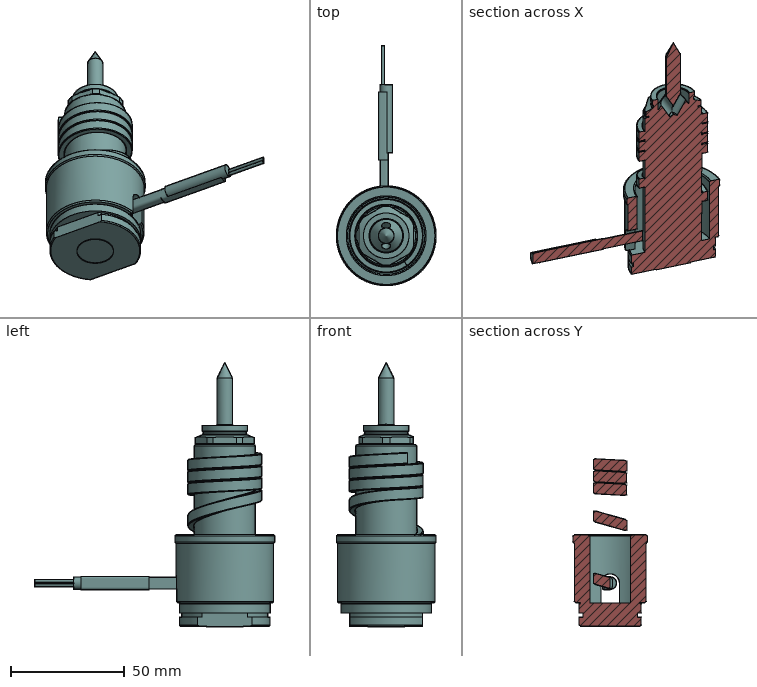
import cadquery as cq
import math

CLAMP_DISC_BOTTOM = 0.3
NECK_BOTTOM = 4.4
NECK_TOP = 6.2
CUP_BOTTOM = 10.6
CUP_RIM_BOTTOM = 37.3
CUP_TOP = 40.6
BODY_TOP = 80.2
HEX_BOTTOM = 80.6
HEX_TOP = 84.4
COLLAR_BOTTOM = 86.2
COLLAR_TOP = 88.6
SHAFT_TOP = 108.5
TIP_CONE_BOTTOM = 109.5
TIP_TOP = 116.3

BOSS_RADIUS = 8.0
BASE_RADIUS = 20.0
NECK_RADIUS = 19.0
FLAT_DISTANCE = 16.0
BASE_CHAMFER = 0.5

CUP_RADIUS = 21.5
CUP_RIM_RADIUS = 22.0
CUP_BORE_RADIUS = 17.0
CUP_SLOT_WIDTH = 8.0
EDGE_CHAMFER = 0.6

BODY_RADIUS = 13.5
HEX_ACROSS_FLATS = 24.0
HEX_CORNER_RADIUS = 13.0
HEX_NECK_RADIUS = 11.6
HEX_TOP_SLOPE_HEIGHT = 1.2
COLLAR_RADIUS = 10.0
GROOVE_RADIUS = 9.5
GROOVE_BEVEL = COLLAR_RADIUS - GROOVE_RADIUS
BORE_RADIUS = 7.2
BORE_CHAMFER = 0.3

TORPEDO_CONE_BOTTOM = 82.9
TORPEDO_SHOULDER = 88.6
TORPEDO_SHOULDER_RADIUS = 3.8
SHAFT_RADIUS = 3.5
TIP_CONE_RADIUS = 3.4
MELT_HOLE_RADIUS = 2.0
MELT_HOLE_MOUTH = 4.7
MELT_HOLE_TILT = 30.0
MELT_HOLE_LEAD_IN = 1.2

BAND_OUTER_RADIUS = 16.3
BAND_OVERLAP = 0.5
BAND_HEIGHT = 5.0
BAND_BEVEL = 0.3
BAND_TOP = 76.8
BAND_START_ANGLE = -55.0
BAND_TIGHT_PITCH = 5.2
BAND_TIGHT_SWEEP = 1095.0
BAND_BLEND_SWEEP = 118.0
BAND_TOTAL_SWEEP = 1655.0
BAND_STEPS_PER_TURN = 24

CABLE_Z = 19.3
LEAD_X_MIN = -2.7
LEAD_X_MAX = 0.9
LEAD_HEIGHT = 5.3
LEAD_OUTER_BEND_RADIUS = 1.2
LEAD_EDGE_RADIUS = 0.3
LEAD_START = 14.5
SLEEVE_LENGTH = 30.0
BOX_SLEEVE_START = 33.3
BOX_SLEEVE_WIDTH = 4.2
BOX_SLEEVE_HEIGHT = 5.9
BOX_SLEEVE_CORNER = 1.0
ROUND_SLEEVE_START = 36.4
ROUND_SLEEVE_RADIUS = 2.8
WIRE_X = -1.4
WIRE_RADIUS = 0.7
WIRE_SPACING = 1.9
WIRE_END = 83.5


def disc(radius, bottom, top):
    return cq.Workplane("XY").workplane(offset=bottom).circle(radius).extrude(top - bottom)


def turned(points):
    """Solid of revolution about Z from (radius, height) points."""
    return cq.Workplane("XZ").polyline(points).close().revolve(360, (0, 0, 0), (0, 1, 0))


def make_base():
    clamp = disc(BASE_RADIUS, CLAMP_DISC_BOTTOM, NECK_BOTTOM).faces("<Z").edges().chamfer(BASE_CHAMFER)
    neck = disc(NECK_RADIUS, NECK_BOTTOM, NECK_TOP)
    flats = cq.Workplane("XY").rect(2 * FLAT_DISTANCE, 2 * BASE_RADIUS).extrude(NECK_TOP)
    base = clamp.union(neck).intersect(flats)
    boss = disc(BOSS_RADIUS, 0, NECK_BOTTOM)
    shoulder = disc(BASE_RADIUS, NECK_TOP, CUP_BOTTOM).faces(">Z").edges().chamfer(BASE_CHAMFER)
    return base.union(boss).union(shoulder)


def make_cup():
    cup = turned([
        (CUP_BORE_RADIUS, CUP_BOTTOM),
        (CUP_RADIUS - EDGE_CHAMFER, CUP_BOTTOM),
        (CUP_RADIUS, CUP_BOTTOM + EDGE_CHAMFER),
        (CUP_RADIUS, CUP_RIM_BOTTOM - EDGE_CHAMFER),
        (CUP_RIM_RADIUS, CUP_RIM_BOTTOM),
        (CUP_RIM_RADIUS, CUP_TOP - EDGE_CHAMFER),
        (CUP_RIM_RADIUS - EDGE_CHAMFER, CUP_TOP),
        (CUP_BORE_RADIUS + EDGE_CHAMFER, CUP_TOP),
        (CUP_BORE_RADIUS, CUP_TOP - EDGE_CHAMFER),
    ])
    slot_radius = CUP_SLOT_WIDTH / 2
    slot = (
        cq.Workplane("XZ")
        .moveTo(-slot_radius, CUP_BOTTOM)
        .lineTo(slot_radius, CUP_BOTTOM)
        .lineTo(slot_radius, CABLE_Z)
        .threePointArc((0, CABLE_Z + slot_radius), (-slot_radius, CABLE_Z))
        .close()
        .extrude(-2 * CUP_RADIUS)
    )
    return cup.cut(slot)


def make_body():
    return disc(BODY_RADIUS, CUP_BOTTOM, BODY_TOP).faces(">Z").edges().chamfer(EDGE_CHAMFER)


def make_hexagon():
    corner_diameter = HEX_ACROSS_FLATS / math.cos(math.pi / 6)
    prism = (
        cq.Workplane("XY")
        .workplane(offset=HEX_BOTTOM)
        .polygon(6, corner_diameter)
        .extrude(HEX_TOP - HEX_BOTTOM)
        .rotate((0, 0, 0), (0, 0, 1), 30)
    )
    rounding = turned([
        (0, HEX_BOTTOM),
        (HEX_CORNER_RADIUS, HEX_BOTTOM),
        (HEX_CORNER_RADIUS, HEX_TOP - HEX_TOP_SLOPE_HEIGHT),
        (COLLAR_RADIUS, HEX_TOP),
        (0, HEX_TOP),
    ])
    return prism.intersect(rounding).union(disc(HEX_NECK_RADIUS, BODY_TOP, HEX_BOTTOM))


def make_collar():
    return turned([
        (0, HEX_TOP),
        (COLLAR_RADIUS, HEX_TOP),
        (GROOVE_RADIUS, HEX_TOP + GROOVE_BEVEL),
        (GROOVE_RADIUS, COLLAR_BOTTOM - GROOVE_BEVEL),
        (COLLAR_RADIUS, COLLAR_BOTTOM),
        (COLLAR_RADIUS, COLLAR_TOP),
        (0, COLLAR_TOP),
    ])


def make_bore():
    return turned([
        (0, TORPEDO_CONE_BOTTOM),
        (BORE_RADIUS, TORPEDO_CONE_BOTTOM),
        (BORE_RADIUS, COLLAR_TOP - BORE_CHAMFER),
        (BORE_RADIUS + BORE_CHAMFER, COLLAR_TOP),
        (0, COLLAR_TOP),
    ])


def make_torpedo():
    shoulder_bevel = TORPEDO_SHOULDER_RADIUS - SHAFT_RADIUS
    return turned([
        (0, TORPEDO_CONE_BOTTOM),
        (BORE_RADIUS, TORPEDO_CONE_BOTTOM),
        (TORPEDO_SHOULDER_RADIUS, TORPEDO_SHOULDER),
        (SHAFT_RADIUS, TORPEDO_SHOULDER + shoulder_bevel),
        (SHAFT_RADIUS, SHAFT_TOP),
        (TIP_CONE_RADIUS, TIP_CONE_BOTTOM),
        (0, TIP_TOP),
    ])


def make_melt_hole(side):
    """Slanted hole from the torpedo cone down to the axis, on the +Y (1) or -Y (-1) side."""
    cone_fall = (TORPEDO_SHOULDER - TORPEDO_CONE_BOTTOM) / (BORE_RADIUS - TORPEDO_SHOULDER_RADIUS)
    mouth_height = TORPEDO_SHOULDER - cone_fall * (MELT_HOLE_MOUTH - TORPEDO_SHOULDER_RADIUS)
    tilt = math.radians(MELT_HOLE_TILT)
    upward = cq.Vector(0, side * math.sin(tilt), math.cos(tilt))
    hole_length = MELT_HOLE_MOUTH / math.sin(tilt) + MELT_HOLE_LEAD_IN
    foot = cq.Vector(0, 0, mouth_height - MELT_HOLE_MOUTH / math.tan(tilt))
    return cq.Workplane(cq.Solid.makeCylinder(MELT_HOLE_RADIUS, hole_length, foot, upward))


def band_drop(sweep):
    """Height lost by the band after winding through an angle in degrees."""
    tight_slope = BAND_TIGHT_PITCH / 360
    loose_sweep = BAND_TOTAL_SWEEP - BAND_TIGHT_SWEEP - BAND_BLEND_SWEEP
    total_drop = BAND_TOP - BAND_HEIGHT / 2 - CABLE_Z
    half_blend = BAND_BLEND_SWEEP / 2
    tight_drop = tight_slope * (BAND_TIGHT_SWEEP + half_blend)
    loose_slope = (total_drop - tight_drop) / (loose_sweep + half_blend)
    past_tight = sweep - BAND_TIGHT_SWEEP
    if past_tight <= 0:
        return tight_slope * sweep
    extra_slope = loose_slope - tight_slope
    if past_tight <= BAND_BLEND_SWEEP:
        return tight_slope * sweep + extra_slope * past_tight ** 2 / (2 * BAND_BLEND_SWEEP)
    return tight_slope * sweep + extra_slope * (past_tight - half_blend)


def band_edge(radius, offset):
    """One long edge of the band, a given height below its top edge."""
    steps = round(BAND_TOTAL_SWEEP / 360 * BAND_STEPS_PER_TURN)
    points = []
    for step in range(steps + 1):
        sweep = BAND_TOTAL_SWEEP * step / steps
        angle = math.radians(BAND_START_ANGLE - sweep)
        height = BAND_TOP - offset - band_drop(sweep)
        points.append(cq.Vector(radius * math.cos(angle), radius * math.sin(angle), height))
    return cq.Edge.makeSpline(points)


def make_heater_band():
    inner_radius = BODY_RADIUS - BAND_OVERLAP
    inner_bevel = BAND_BEVEL + BAND_OVERLAP
    section = [
        (inner_radius, inner_bevel),
        (inner_radius + inner_bevel, 0),
        (BAND_OUTER_RADIUS - BAND_BEVEL, 0),
        (BAND_OUTER_RADIUS, BAND_BEVEL),
        (BAND_OUTER_RADIUS, BAND_HEIGHT - BAND_BEVEL),
        (BAND_OUTER_RADIUS - BAND_BEVEL, BAND_HEIGHT),
        (inner_radius + inner_bevel, BAND_HEIGHT),
        (inner_radius, BAND_HEIGHT - inner_bevel),
    ]
    edges = [band_edge(radius, offset) for radius, offset in section]
    faces = [cq.Face.makeRuledSurface(edges[i - 1], edges[i]) for i in range(len(edges))]
    for end in (0, 1):
        corners = [edge.positionAt(end) for edge in edges]
        faces.append(cq.Face.makeFromWires(cq.Wire.makePolygon(corners, close=True)))
    return cq.Workplane(cq.Solid.makeSolid(cq.Shell.makeShell(faces)))


def cable_plane(start):
    """Plane facing +Y on the cable axis, with local x along -X and y along Z."""
    return cq.Workplane(cq.Plane(origin=(0, start, CABLE_Z), xDir=(-1, 0, 0), normal=(0, 1, 0)))


def make_cable():
    lead = (
        cable_plane(LEAD_START)
        .center(-(LEAD_X_MIN + LEAD_X_MAX) / 2, 0)
        .rect(LEAD_X_MAX - LEAD_X_MIN, LEAD_HEIGHT)
        .extrude(BOX_SLEEVE_START + SLEEVE_LENGTH / 2 - LEAD_START)
        .edges("|Y and >X")
        .fillet(LEAD_OUTER_BEND_RADIUS)
        .edges("|Y and <X")
        .fillet(LEAD_EDGE_RADIUS)
    )
    box_sleeve = (
        cable_plane(BOX_SLEEVE_START)
        .center(-WIRE_X, 0)
        .rect(BOX_SLEEVE_WIDTH, BOX_SLEEVE_HEIGHT)
        .extrude(SLEEVE_LENGTH)
        .edges("|Y")
        .fillet(BOX_SLEEVE_CORNER)
    )
    round_sleeve = cable_plane(ROUND_SLEEVE_START).circle(ROUND_SLEEVE_RADIUS).extrude(SLEEVE_LENGTH)
    wires = (
        cable_plane(ROUND_SLEEVE_START)
        .center(-WIRE_X, 0)
        .rarray(1.2, WIRE_SPACING, 1, 2)
        .circle(WIRE_RADIUS)
        .extrude(WIRE_END - ROUND_SLEEVE_START)
    )
    return lead.union(box_sleeve).union(round_sleeve).union(wires)


nozzle = make_base().union(make_cup()).union(make_body()).union(make_hexagon()).union(make_collar())
nozzle = nozzle.cut(make_bore()).union(make_torpedo())
for side in (-1, 1):
    nozzle = nozzle.cut(make_melt_hole(side))
nozzle = nozzle.union(make_heater_band())
result = nozzle.union(make_cable())